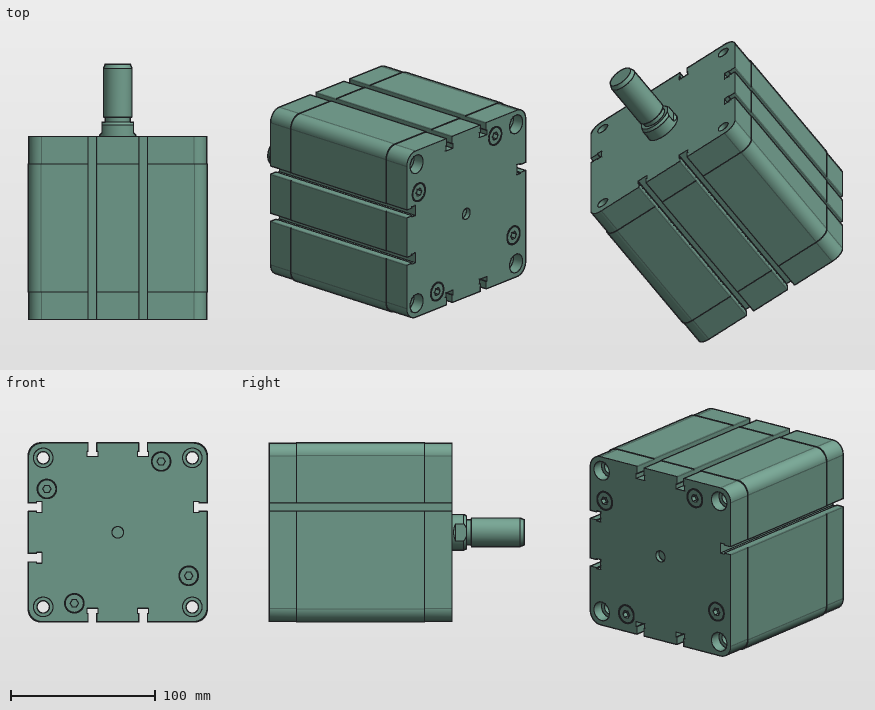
import cadquery as cq
import math


body_side = 124.0
cap_inset = 0.4
cap_side = body_side - 2 * cap_inset
corner_radius = 9.0
cap_length = 19.0
housing_length = 126.5
body_length = housing_length - 2 * cap_length

slot_offset = 17.5
slot_mouth_width = 5.8
slot_inner_width = 7.4
slot_floor = 52.5
slot_step = 56.0
slot_lip_radius = 0.3

mount_offset = 51.5
mount_hole_diameter = 8.38
mount_counterbore_diameter = 13.5
mount_counterbore_depth = 8.5

screw_near_offset = 30.0
screw_far_offset = 49.0
screw_head_diameter = 12.5
screw_recess_diameter = 13.5
screw_gap_depth = 1.0
socket_across_flats = 5.0
socket_depth = 4.0

center_hole_diameter = 8.0
center_hole_depth = 3.5

rod_diameter = 25.0
rod_shoulder = 10.0
rod_chamfer_length = 2.0
rod_chamfer_angle = 30.0
thread_diameter = 20.0
thread_root_diameter = 17.5
thread_start = 13.5
thread_runout = 0.5
thread_tip_chamfer = 3.0
rod_length = 50.0

flat_across = 22.0
flat_length = 7.5

cut_clearance = 1.0


def rounded_block(side, start, length):
    """Square block with rounded corners, running from Y = start toward +Y."""
    return (
        cq.Workplane("XZ", origin=(0, start, 0))
        .rect(side, side)
        .extrude(-length)
        .edges("|Y")
        .fillet(corner_radius)
    )


def rear_cylinder(x, z, diameter, depth):
    """Cylinder reaching from the rear face into the housing."""
    return cq.Workplane("XZ", origin=(x, 0, z)).circle(diameter / 2).extrude(-depth)


def make_slot(side, start, length, offset, angle):
    """Undercut slot with rounded lips for a block of the given side.

    The slot opens toward +Z and is then turned by angle about the Y axis.
    """
    surface = side / 2
    outside = surface + cut_clearance
    mouth = slot_mouth_width / 2
    inner = slot_inner_width / 2
    lip = slot_lip_radius
    lip_start = surface - lip
    lip_middle = lip * (1 - math.cos(math.pi / 4))
    slot = (
        cq.Workplane("XZ", origin=(0, start, 0))
        .moveTo(offset - mouth - lip, outside)
        .lineTo(offset - mouth - lip, surface)
        .threePointArc(
            (offset - mouth - lip_middle, surface - lip_middle),
            (offset - mouth, lip_start),
        )
        .lineTo(offset - mouth, slot_step)
        .lineTo(offset - inner, slot_step)
        .lineTo(offset - inner, slot_floor)
        .lineTo(offset + inner, slot_floor)
        .lineTo(offset + inner, slot_step)
        .lineTo(offset + mouth, slot_step)
        .lineTo(offset + mouth, lip_start)
        .threePointArc(
            (offset + mouth + lip_middle, surface - lip_middle),
            (offset + mouth + lip, surface),
        )
        .lineTo(offset + mouth + lip, outside)
        .close()
        .extrude(-length)
    )
    return slot.rotate((0, 0, 0), (0, 1, 0), angle)


def slotted_block(side, start, length):
    """Block with two slots on the top, bottom and -X sides and one on the +X side."""
    top, right, bottom, left = 0, 90, 180, 270
    block = rounded_block(side, start, length)
    for angle in (top, bottom, left):
        for offset in (-slot_offset, slot_offset):
            block = block.cut(make_slot(side, start, length, offset, angle))
    return block.cut(make_slot(side, start, length, -slot_offset, right))


def make_housing():
    rear_cap = slotted_block(cap_side, 0, cap_length)
    body = slotted_block(body_side, cap_length, body_length)
    front_cap = slotted_block(cap_side, cap_length + body_length, cap_length)
    return rear_cap.union(body).union(front_cap)


def cut_mounting_holes(housing):
    for x in (-mount_offset, mount_offset):
        for z in (-mount_offset, mount_offset):
            housing = housing.cut(rear_cylinder(x, z, mount_hole_diameter, housing_length))
            housing = housing.cut(
                rear_cylinder(x, z, mount_counterbore_diameter, mount_counterbore_depth)
            )
    return housing


def cut_screw_heads(housing):
    """Ring gap around each flush screw head, with a hexagon socket in the head."""
    near, far = screw_near_offset, screw_far_offset
    socket_across_corners = socket_across_flats / math.cos(math.pi / 6)
    for x, z in ((near, far), (far, -near), (-near, -far), (-far, near)):
        head = rear_cylinder(x, z, screw_head_diameter, screw_gap_depth)
        gap = rear_cylinder(x, z, screw_recess_diameter, screw_gap_depth).cut(head)
        socket = (
            cq.Workplane("XZ", origin=(x, 0, z))
            .polygon(6, socket_across_corners)
            .extrude(-socket_depth)
        )
        housing = housing.cut(gap).cut(socket)
    return housing


def make_rod():
    rod_radius = rod_diameter / 2
    thread_radius = thread_diameter / 2
    root_radius = thread_root_diameter / 2
    chamfer_depth = rod_chamfer_length * math.tan(math.radians(rod_chamfer_angle))
    profile = [
        (0, -cap_length),
        (rod_radius, -cap_length),
        (rod_radius, rod_shoulder - rod_chamfer_length),
        (rod_radius - chamfer_depth, rod_shoulder),
        (root_radius, rod_shoulder),
        (root_radius, thread_start - thread_runout),
        (thread_radius, thread_start),
        (thread_radius, rod_length - thread_tip_chamfer),
        (root_radius, rod_length),
        (0, rod_length),
    ]
    rod = cq.Workplane("XY").polyline(profile).close().revolve(360, (0, 0, 0), (0, 1, 0))
    for side in (-1, 1):
        rod = rod.cut(make_flat_cutter(side))
    return rod.translate((0, housing_length, 0))


def make_flat_cutter(side):
    """Wedge removing one wrench flat, with a 45 degree runout toward the housing."""
    inner = flat_across / 2
    outer = rod_diameter / 2 + cut_clearance
    flat_end = rod_shoulder - flat_length
    outline = [
        (side * inner, rod_shoulder),
        (side * inner, flat_end),
        (side * outer, flat_end - (outer - inner)),
        (side * outer, rod_shoulder),
    ]
    return cq.Workplane("XY").polyline(outline).close().extrude(rod_diameter / 2, both=True)


housing = cut_mounting_holes(make_housing())
housing = cut_screw_heads(housing)
housing = housing.cut(rear_cylinder(0, 0, center_hole_diameter, center_hole_depth))
result = housing.union(make_rod())